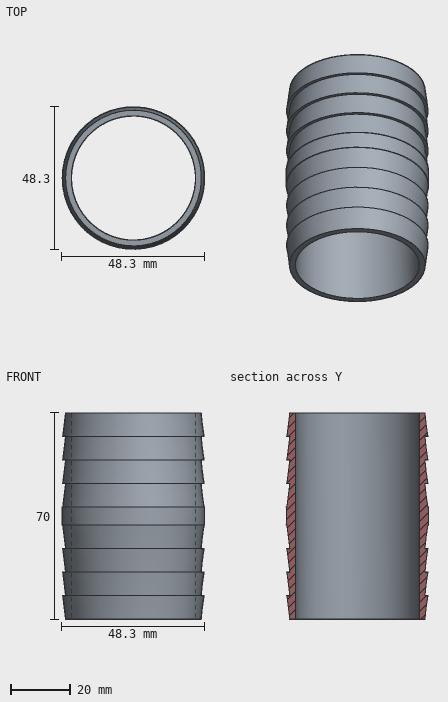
import cadquery as cq

collar_diameter = 48.3
barb_root_diameter = 46.0
barb_crest_diameter = 48.0
bore_diameter = 42.0
collar_height = 6.0
barb_height = 8.0
barbs_per_end = 4

collar_radius = collar_diameter / 2
root_radius = barb_root_diameter / 2
crest_radius = barb_crest_diameter / 2
bore_radius = bore_diameter / 2
collar_top = collar_height / 2
total_height = collar_height + 2 * barbs_per_end * barb_height
half_height = total_height / 2


def upper_outline():
    """Radius and height of the outer corners from the collar's upper edge to the top rim."""
    corners = [(collar_radius, collar_top)]
    for index in range(barbs_per_end):
        crest_z = collar_top + index * barb_height
        corners.append((crest_radius, crest_z))
        corners.append((root_radius, crest_z + barb_height))
    return corners


def wall_profile():
    """Cross-section of the tube wall on the -X side, closed along the bore."""
    upper = upper_outline()
    lower = [(radius, -z) for radius, z in reversed(upper)]
    bore = [(bore_radius, half_height), (bore_radius, -half_height)]
    corners = [(-radius, z) for radius, z in lower + upper + bore]
    return cq.Workplane("XZ").polyline(corners).close()


result = wall_profile().revolve(360, (0, 0), (0, 1))